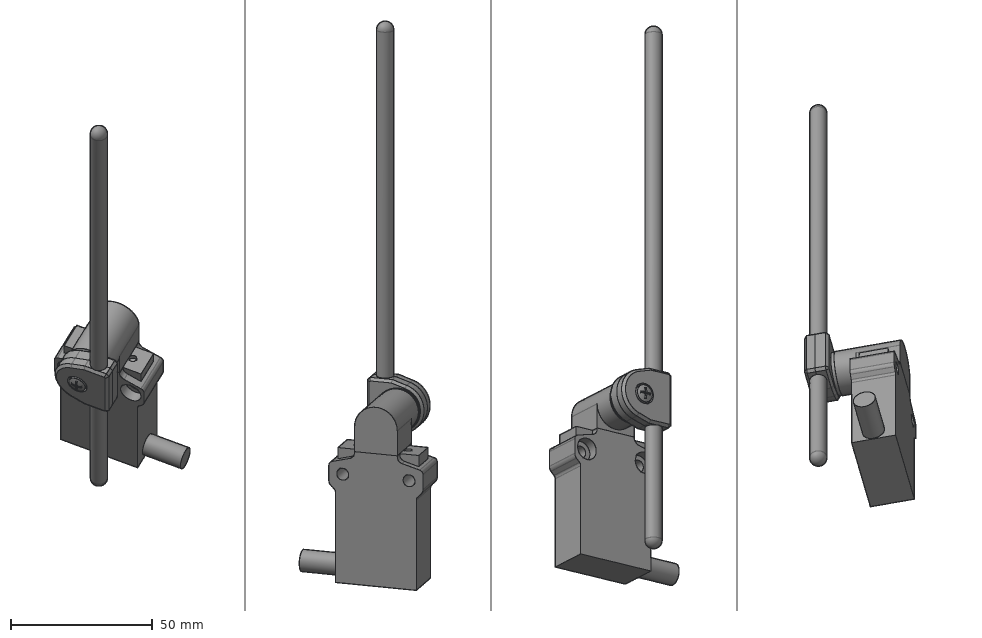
import cadquery as cq
import math


HOUSING_WIDTH = 30.0
HOUSING_DEPTH = 16.0
HOUSING_HEIGHT = 49.0
MID_Y = -HOUSING_DEPTH / 2
EAR_HALF_WIDTH = 17.5
EAR_BOTTOM_Z = 36.5
EAR_TOP_Z = 44.2
SHOULDER_SLOPE = 15
EAR_TOP_ROUND = 1.5
EAR_BOTTOM_ROUND = 2.4
EAR_ROOT_ROUND = 1.5
NECK_ROUND = 2.4

PAD_DEPTH = 10.4
PAD_HOLE_X = 9.4
PAD_HOLE_DIAMETER = 2.8
PAD_HOLE_DEPTH = 1.5

MOUNT_HOLE_X = 12.4
MOUNT_HOLE_Z = 40.3
MOUNT_HOLE_DIAMETER = 4.4
COUNTERBORE_DIAMETER = 8.0
COUNTERBORE_DEPTH = 4.0

BARREL_RADIUS = 8.0
BARREL_LENGTH = 24.0
BARREL_Z = 58.2
COLLAR_RADIUS = 7.8

CABLE_DIAMETER = 8.0
CABLE_END_X = 29.9
CABLE_Z = 4.4

CLAMP_BACK_Y = -25.1
CLAMP_FRONT_Y = -33.9
CLAMP_HALF_HEIGHT = 10.4
CLAMP_ARC_RADIUS = 9.2
CLAMP_FLANK_SLOPE = 17
CLAMP_RIGHT_X = 12.0
CLAMP_CHAMFER = 1.0

ROD_DIAMETER = 6.2
ROD_X = 6.5
ROD_Y = -29.9
ROD_BOTTOM_Z = 2.4
ROD_TOP_Z = 199.3

SCREW_DIAMETER = 6.4
SCREW_RECESS_DIAMETER = 7.5
SCREW_RECESS_DEPTH = 2.0
SCREW_SEAT_Y = CLAMP_FRONT_Y + SCREW_RECESS_DEPTH
SCREW_TIP_Y = -34.9
SCREW_RIM_PROTRUSION = 0.2
CROSS_LENGTH = 4.0
CROSS_WIDTH = 0.5
CROSS_DEPTH = 1.2


def cylinder_along_y(x, z, radius, start_y, end_y):
    """Cylinder parallel to Y, running from start_y forward to the more negative end_y."""
    return cq.Workplane("XZ", origin=(x, start_y, z)).circle(radius).extrude(start_y - end_y)


def housing_profile():
    """Front outline with sharp corners: plain lower box, two ears and the stub below the neck."""
    half_width = HOUSING_WIDTH / 2
    ear_root_z = EAR_BOTTOM_Z - (EAR_HALF_WIDTH - half_width)
    shoulder_rise = (EAR_HALF_WIDTH - BARREL_RADIUS) * math.tan(math.radians(SHOULDER_SLOPE))
    right_side = [
        (half_width, 0),
        (half_width, ear_root_z),
        (EAR_HALF_WIDTH, EAR_BOTTOM_Z),
        (EAR_HALF_WIDTH, EAR_TOP_Z),
        (BARREL_RADIUS, EAR_TOP_Z + shoulder_rise),
        (BARREL_RADIUS, HOUSING_HEIGHT),
    ]
    left_side = [(-x, z) for x, z in reversed(right_side)]
    return right_side + left_side


def make_housing():
    profile = housing_profile()
    body = cq.Workplane("XZ").polyline(profile).close().extrude(HOUSING_DEPTH)

    corner_rounds = [EAR_ROOT_ROUND, EAR_BOTTOM_ROUND, EAR_TOP_ROUND, NECK_ROUND]
    for (x, z), radius in zip(profile[1:5], corner_rounds):
        for side in (-1, 1):
            corner = cq.selectors.NearestToPointSelector((side * x, MID_Y, z))
            body = body.edges("|Y").edges(corner).fillet(radius)

    pad_height = HOUSING_HEIGHT - EAR_BOTTOM_Z
    pads = (
        cq.Workplane("XY", origin=(0, MID_Y, EAR_BOTTOM_Z))
        .rect(HOUSING_WIDTH, PAD_DEPTH)
        .extrude(pad_height)
    )
    body = body.union(pads)

    for side in (-1, 1):
        pad_hole = (
            cq.Workplane("XY", origin=(side * PAD_HOLE_X, MID_Y, HOUSING_HEIGHT))
            .circle(PAD_HOLE_DIAMETER / 2)
            .extrude(-PAD_HOLE_DEPTH)
        )
        x = side * MOUNT_HOLE_X
        mount_hole = cylinder_along_y(x, MOUNT_HOLE_Z, MOUNT_HOLE_DIAMETER / 2, 0, -HOUSING_DEPTH)
        counterbore_floor_y = COUNTERBORE_DEPTH - HOUSING_DEPTH
        counterbore = cylinder_along_y(
            x, MOUNT_HOLE_Z, COUNTERBORE_DIAMETER / 2, counterbore_floor_y, -HOUSING_DEPTH
        )
        body = body.cut(pad_hole).cut(mount_hole).cut(counterbore)
    return body


def make_head():
    neck = (
        cq.Workplane("XY", origin=(0, MID_Y, HOUSING_HEIGHT))
        .rect(2 * BARREL_RADIUS, HOUSING_DEPTH)
        .extrude(BARREL_Z - HOUSING_HEIGHT)
    )
    barrel = cylinder_along_y(0, BARREL_Z, BARREL_RADIUS, 0, -BARREL_LENGTH)
    collar = cylinder_along_y(0, BARREL_Z, COLLAR_RADIUS, -BARREL_LENGTH, CLAMP_BACK_Y)
    return neck.union(barrel).union(collar)


def make_cable():
    start_x = HOUSING_WIDTH / 2
    return (
        cq.Workplane("YZ", origin=(start_x, MID_Y, CABLE_Z))
        .circle(CABLE_DIAMETER / 2)
        .extrude(CABLE_END_X - start_x)
    )


def make_rod():
    """Round rod with a hemisphere on each end."""
    rod_radius = ROD_DIAMETER / 2
    low_z = ROD_BOTTOM_Z + rod_radius
    high_z = ROD_TOP_Z - rod_radius
    rod = cq.Workplane("XY", origin=(ROD_X, ROD_Y, low_z)).circle(rod_radius).extrude(high_z - low_z)
    for end_z in (low_z, high_z):
        rod = rod.union(cq.Workplane("XY", origin=(ROD_X, ROD_Y, end_z)).sphere(rod_radius))
    return rod


def make_clamp_block():
    """Whole clamp before the split: round left end, sloped flanks and a square right end."""
    slope = math.radians(CLAMP_FLANK_SLOPE)
    tangent_x = -CLAMP_ARC_RADIUS * math.sin(slope)
    tangent_z = CLAMP_ARC_RADIUS * math.cos(slope)
    flank_end_x = tangent_x + (CLAMP_HALF_HEIGHT - tangent_z) / math.tan(slope)
    block = (
        cq.Workplane("XZ", origin=(0, CLAMP_BACK_Y, BARREL_Z))
        .moveTo(CLAMP_RIGHT_X, -CLAMP_HALF_HEIGHT)
        .lineTo(CLAMP_RIGHT_X, CLAMP_HALF_HEIGHT)
        .lineTo(flank_end_x, CLAMP_HALF_HEIGHT)
        .lineTo(tangent_x, tangent_z)
        .threePointArc((-CLAMP_ARC_RADIUS, 0), (tangent_x, -tangent_z))
        .lineTo(flank_end_x, -CLAMP_HALF_HEIGHT)
        .close()
        .extrude(CLAMP_BACK_Y - CLAMP_FRONT_Y)
    )
    block = block.edges("|Y and >X").chamfer(CLAMP_CHAMFER)
    return block.faces("<Y or >Y").edges().chamfer(CLAMP_CHAMFER)


def make_clamp_half(back_y, front_y):
    """Slice of the clamp between two Y planes, with the rod bore cut out."""
    block = make_clamp_block()
    box = block.val().BoundingBox()
    slab = (
        cq.Workplane("XZ", origin=(box.center.x, back_y, BARREL_Z))
        .rect(box.xlen, box.zlen)
        .extrude(back_y - front_y)
    )
    bore = (
        cq.Workplane("XY", origin=(ROD_X, ROD_Y, box.zmin))
        .circle(ROD_DIAMETER / 2)
        .extrude(box.zlen)
    )
    return block.intersect(slab).cut(bore)


def make_front_clamp():
    recess = cylinder_along_y(0, BARREL_Z, SCREW_RECESS_DIAMETER / 2, SCREW_SEAT_Y, CLAMP_FRONT_Y)
    return make_clamp_half(ROD_Y, CLAMP_FRONT_Y).cut(recess)


def make_screw():
    """Domed screw head with a cross recess, seated on the floor of the clamp recess."""
    radius = SCREW_DIAMETER / 2
    rim_y = CLAMP_FRONT_Y - SCREW_RIM_PROTRUSION
    rise = rim_y - SCREW_TIP_Y
    dome_radius = (radius**2 + rise**2) / (2 * rise)
    dome = cq.Workplane("XY", origin=(0, SCREW_TIP_Y + dome_radius, BARREL_Z)).sphere(dome_radius)
    screw = cylinder_along_y(0, BARREL_Z, radius, SCREW_SEAT_Y, SCREW_TIP_Y).intersect(dome)
    for width, height in ((CROSS_LENGTH, CROSS_WIDTH), (CROSS_WIDTH, CROSS_LENGTH)):
        slot = (
            cq.Workplane("XZ", origin=(0, SCREW_TIP_Y + CROSS_DEPTH, BARREL_Z))
            .rect(width, height)
            .extrude(CROSS_DEPTH)
        )
        screw = screw.cut(slot)
    return screw


housing = make_housing()
head = make_head()
cable = make_cable()
rear_clamp = make_clamp_half(CLAMP_BACK_Y, ROD_Y)
front_clamp = make_front_clamp()
rod = make_rod()
screw = make_screw()

result = cq.Compound.makeCompound(
    [
        housing.val(),
        head.val(),
        cable.val(),
        rear_clamp.val(),
        front_clamp.val(),
        rod.val(),
        screw.val(),
    ]
)